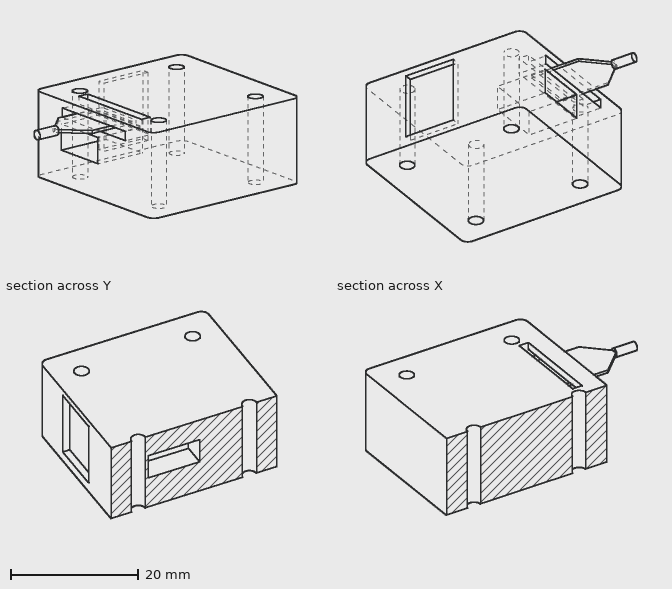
import cadquery as cq

total_length = 41.4
width = 29.23
depth = 29.95
height = 14.1
corner_radius = 1.32

hole_diameter = 2.4
hole_pitch = 19.6

slot_width = 15.55
slot_top = height - 1.3
slot_height = 1.55
slot_back = 5.1
window_front = 3.35

tongue_width = 8.4
tongue_thickness = 0.5
tongue_shoulder = 3.75
tongue_tip_width = 0.9
pin_diameter = 1.55
pin_length = 3.8

front_pocket_width = 9.03
front_pocket_height = 4.3
front_pocket_depth = 9.0
front_pocket_left = 6.6 - width / 2
front_pocket_bottom = 5.85

side_recess_depth = 1.25
side_recess_length = 8.9
side_recess_height = 11.2
side_recess_front = 12.9
side_recess_bottom = 1.8


def block(x, y, z, size_x, size_y, size_z):
    """Box given by its left, front, bottom corner and its sizes."""
    return cq.Workplane("XY").box(size_x, size_y, size_z, centered=False).translate((x, y, z))


def make_housing():
    housing = block(-width / 2, 0, 0, width, depth, height).edges("|Z").fillet(corner_radius)
    holes = (
        cq.Workplane("XY")
        .center(0, depth / 2)
        .rect(hole_pitch, hole_pitch, forConstruction=True)
        .vertices()
        .circle(hole_diameter / 2)
        .extrude(height)
    )
    slot_bottom = slot_top - slot_height
    slot = block(-slot_width / 2, 0, slot_bottom, slot_width, slot_back, slot_height)
    window = block(
        -slot_width / 2, window_front, slot_bottom,
        slot_width, slot_back - window_front, height - slot_bottom,
    )
    front_pocket = block(
        front_pocket_left, 0, front_pocket_bottom,
        front_pocket_width, front_pocket_depth, front_pocket_height,
    )
    side_recess = block(
        -width / 2, side_recess_front, side_recess_bottom,
        side_recess_depth, side_recess_length, side_recess_height,
    )
    return housing.cut(holes).cut(slot).cut(window).cut(front_pocket).cut(side_recess)


def make_tongue():
    pin_base = depth + pin_length - total_length
    tongue = (
        cq.Workplane("XY", origin=(0, 0, slot_top - tongue_thickness))
        .moveTo(-tongue_width / 2, slot_back)
        .lineTo(-tongue_width / 2, -tongue_shoulder)
        .lineTo(-tongue_tip_width / 2, pin_base)
        .lineTo(tongue_tip_width / 2, pin_base)
        .lineTo(tongue_width / 2, -tongue_shoulder)
        .lineTo(tongue_width / 2, slot_back)
        .close()
        .extrude(tongue_thickness)
    )
    pin = (
        cq.Workplane("XZ", origin=(0, pin_base, slot_top - tongue_thickness / 2))
        .circle(pin_diameter / 2)
        .extrude(pin_length)
    )
    return tongue.union(pin)


result = make_housing().union(make_tongue())